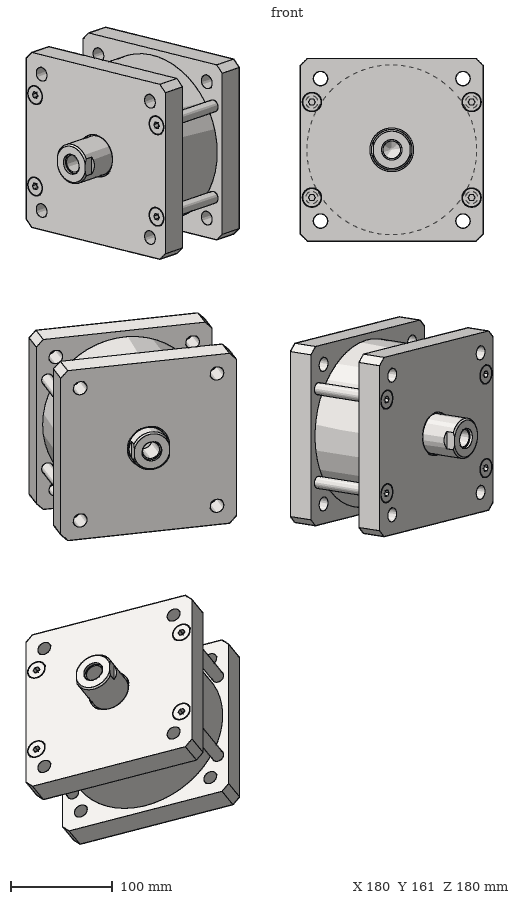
import cadquery as cq
import math

PLATE_SIDE = 180.0
PLATE_THICKNESS = 26.0
PLATE_CHAMFER = 7.2
BARREL_DIAMETER = 167.0
BARREL_LENGTH = 60.1
BODY_HALF_LENGTH = BARREL_LENGTH / 2 + PLATE_THICKNESS

MOUNT_SPACING = 140.0
MOUNT_DIAMETER = 13.9

TIE_SPACING_X = 157.0
TIE_SPACING_Z = 94.0
TIE_DIAMETER = 12.0
HEAD_DIAMETER = 18.0
COUNTERBORE_DIAMETER = 19.0
COUNTERBORE_DEPTH = 12.0
SOCKET_WIDTH = 6.0
SOCKET_DEPTH = 6.0

ROD_DIAMETER = 40.0
ROD_FRONT_PROJECTION = 37.0
ROD_REAR_PROJECTION = 11.9
ROD_CHAMFER = 1.6
ROD_CLEARANCE_DIAMETER = 43.0
ROD_CLEARANCE_DEPTH = 2.0

FLAT_WIDTH = 36.0
FLAT_LENGTH = 9.7

MOUTH_DIAMETER = 20.2
MOUTH_DEPTH = 3.0
BORE_DIAMETER = 17.3
BORE_DEPTH = 30.0
DRILL_POINT_ANGLE = 118.0

ROD_FRONT_Y = -BODY_HALF_LENGTH - ROD_FRONT_PROJECTION
ROD_REAR_Y = BODY_HALF_LENGTH + ROD_REAR_PROJECTION

ROD_ENDS = ((ROD_FRONT_Y, 1), (ROD_REAR_Y, -1))


def grid_points(spacing_x, spacing_z):
    """Four (x, z) points symmetric about the Y axis."""
    return [(sx * spacing_x / 2, sz * spacing_z / 2) for sx in (-1, 1) for sz in (-1, 1)]


def plane_at(y):
    """Plane whose local axes are X and Z and whose normal is -Y."""
    return cq.Workplane("XZ", origin=(0, y, 0))


def cylinders(points, diameter, y_start, y_end):
    """Cylinders along Y, at the given (x, z) points, from y_start up to y_end."""
    return plane_at(y_end).pushPoints(points).circle(diameter / 2).extrude(y_end - y_start)


def make_plate(y_start):
    """End plate whose front face lies at y_start."""
    return (
        plane_at(y_start + PLATE_THICKNESS)
        .rect(PLATE_SIDE, PLATE_SIDE)
        .extrude(PLATE_THICKNESS)
        .edges("|Y")
        .chamfer(PLATE_CHAMFER)
    )


def make_body():
    """Both plates joined by the barrel and the tie rods, with the mounting holes."""
    half_barrel = BARREL_LENGTH / 2
    body = make_plate(-BODY_HALF_LENGTH).union(make_plate(half_barrel))
    body = body.union(cylinders([(0, 0)], BARREL_DIAMETER, -half_barrel, half_barrel))
    ties = cylinders(grid_points(TIE_SPACING_X, TIE_SPACING_Z), TIE_DIAMETER, -half_barrel, half_barrel)
    mounts = grid_points(MOUNT_SPACING, MOUNT_SPACING)
    holes = cylinders(mounts, MOUNT_DIAMETER, -BODY_HALF_LENGTH, BODY_HALF_LENGTH)
    return body.union(ties).cut(holes)


def add_screw_heads(body):
    """Flush socket heads, each left standing inside a slightly wider counterbore."""
    points = grid_points(TIE_SPACING_X, TIE_SPACING_Z)
    floor_y = -BODY_HALF_LENGTH + COUNTERBORE_DEPTH
    gaps = cylinders(points, COUNTERBORE_DIAMETER, -BODY_HALF_LENGTH, floor_y).cut(
        cylinders(points, HEAD_DIAMETER, -BODY_HALF_LENGTH, floor_y)
    )
    socket_corner_diameter = SOCKET_WIDTH / math.cos(math.pi / 6)
    sockets = (
        plane_at(-BODY_HALF_LENGTH + SOCKET_DEPTH)
        .pushPoints(points)
        .polygon(6, socket_corner_diameter)
        .extrude(SOCKET_DEPTH)
    )
    return body.cut(gaps).cut(sockets)


def flat_cutters(end_y, inward):
    """Material removed on both X sides of a rod end; inward is +1 or -1 along Y."""
    half_width = FLAT_WIDTH / 2
    outer = ROD_DIAMETER
    side = (
        cq.Workplane("XY", origin=(0, 0, -ROD_DIAMETER / 2))
        .moveTo(half_width, end_y)
        .lineTo(half_width, end_y + inward * FLAT_LENGTH)
        .lineTo(outer, end_y + inward * (FLAT_LENGTH + outer - half_width))
        .lineTo(outer, end_y)
        .close()
        .extrude(ROD_DIAMETER)
    )
    return side.union(side.mirror("YZ"))


def end_hole(end_y, inward):
    """Stepped blind hole with a drill point, revolved about the Y axis."""
    mouth_radius = MOUTH_DIAMETER / 2
    bore_radius = BORE_DIAMETER / 2
    point_length = bore_radius / math.tan(math.radians(DRILL_POINT_ANGLE / 2))
    return (
        cq.Workplane("XY")
        .moveTo(0, end_y)
        .lineTo(mouth_radius, end_y)
        .lineTo(mouth_radius, end_y + inward * MOUTH_DEPTH)
        .lineTo(bore_radius, end_y + inward * MOUTH_DEPTH)
        .lineTo(bore_radius, end_y + inward * BORE_DEPTH)
        .lineTo(0, end_y + inward * (BORE_DEPTH + point_length))
        .close()
        .revolve(360, (0, 0, 0), (0, 1, 0))
    )


def make_rod():
    rod = cylinders([(0, 0)], ROD_DIAMETER, ROD_FRONT_Y, ROD_REAR_Y)
    rod = rod.faces("<Y or >Y").chamfer(ROD_CHAMFER)
    for end_y, inward in ROD_ENDS:
        rod = rod.cut(flat_cutters(end_y, inward)).cut(end_hole(end_y, inward))
    return rod


def add_rod_recesses(body):
    """Shallow clearance ring around the rod in the outer face of each plate."""
    floor_y = BODY_HALF_LENGTH - ROD_CLEARANCE_DEPTH
    front = cylinders([(0, 0)], ROD_CLEARANCE_DIAMETER, -BODY_HALF_LENGTH, -floor_y)
    rear = cylinders([(0, 0)], ROD_CLEARANCE_DIAMETER, floor_y, BODY_HALF_LENGTH)
    return body.cut(front).cut(rear)


def bore_for_rod(body):
    """Open the body along its axis where the rod, with its end holes, passes through."""
    return body.cut(cylinders([(0, 0)], ROD_DIAMETER, ROD_FRONT_Y, ROD_REAR_Y))


body = add_rod_recesses(add_screw_heads(make_body()))
result = bore_for_rod(body).union(make_rod())